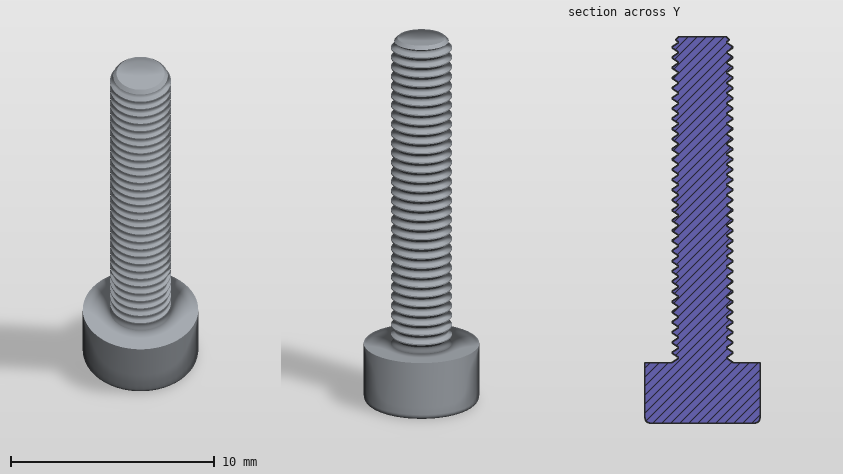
import cadquery as cq

total_length = 19.0
head_diameter = 5.68
head_height = 3.0
head_edge_radius = 0.28

thread_diameter = 3.0
root_diameter = 2.4
ridge_count = 32
tip_diameter = 2.35

shank_length = total_length - head_height
pitch = shank_length / ridge_count
crest_radius = thread_diameter / 2
root_radius = root_diameter / 2
crest_flat = pitch / 8
root_flat = pitch / 16
flank_height = (pitch - crest_flat - root_flat) / 2


def make_head():
    """Cylindrical head standing on Z = 0 with a rounded lower edge."""
    head = cq.Workplane("XY").circle(head_diameter / 2).extrude(head_height)
    return head.faces("<Z").edges().fillet(head_edge_radius)


def make_threaded_shank():
    """Revolved thread; each pitch is one groove followed by a crest flat."""
    profile = [(0, head_height)]
    for ridge in range(ridge_count):
        groove_start = head_height + ridge * pitch
        root_start = groove_start + flank_height
        root_end = root_start + root_flat
        crest_start = root_end + flank_height
        profile += [
            (crest_radius, groove_start),
            (root_radius, root_start),
            (root_radius, root_end),
            (crest_radius, crest_start),
        ]
    profile += [(crest_radius, total_length), (0, total_length)]
    return cq.Workplane("XZ").polyline(profile).close().revolve(360, (0, 0), (0, 1))


def make_tip_limit():
    """Rod with a 45-degree chamfer that bounds the end of the thread."""
    rod = cq.Workplane("XY").circle(crest_radius).extrude(total_length)
    return rod.faces(">Z").chamfer(crest_radius - tip_diameter / 2)


threaded_shank = make_threaded_shank().intersect(make_tip_limit())
result = make_head().union(threaded_shank)